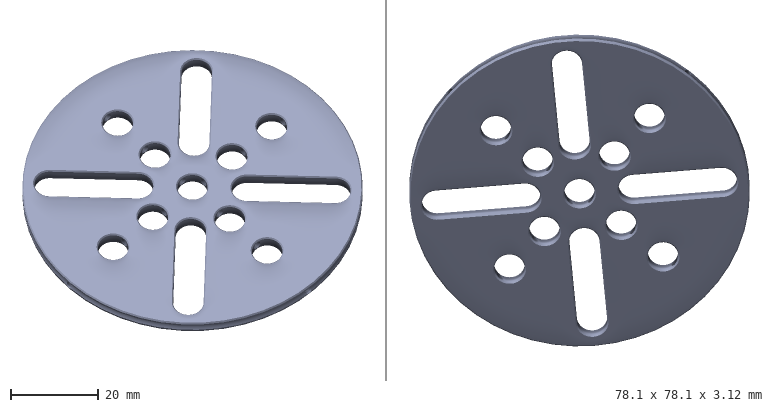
import cadquery as cq

disc_diameter = 78.12
thickness = 3.12
edge_chamfer = 0.3

groove_depth = 0.85
groove_half_width = 0.8

hole_diameter = 7.0
hole_pitch = 12.5
holes_per_arm = 2

slot_width = hole_diameter
slot_inner_radius = hole_pitch
slot_outer_radius = 32.8
slot_length = slot_outer_radius - slot_inner_radius + slot_width
slot_middle_radius = (slot_inner_radius + slot_outer_radius) / 2
slot_angles = (45, 135, 225, 315)

cross_bore_diameter = 2.0

seam_angle = 45

disc_radius = disc_diameter / 2
half_thickness = thickness / 2


def make_disc():
    """Disc centred on the origin, revolved from half of its section with the rim groove."""
    return (
        cq.Workplane("XZ")
        .moveTo(0, -half_thickness)
        .lineTo(disc_radius, -half_thickness)
        .lineTo(disc_radius, -groove_half_width)
        .lineTo(disc_radius - groove_depth, 0)
        .lineTo(disc_radius, groove_half_width)
        .lineTo(disc_radius, half_thickness)
        .lineTo(0, half_thickness)
        .close()
        .revolve(360, (0, 0, 0), (0, 1, 0))
        .rotate((0, 0, 0), (0, 0, 1), seam_angle)
    )


def hole_centres():
    """Centre hole plus a row of holes along each of the four axis directions."""
    centres = [(0, 0)]
    for step in range(1, holes_per_arm + 1):
        distance = step * hole_pitch
        centres += [(distance, 0), (-distance, 0), (0, distance), (0, -distance)]
    return centres


def cut_holes(body):
    holes = (
        cq.Workplane("XY")
        .pushPoints(hole_centres())
        .circle(hole_diameter / 2)
        .extrude(thickness, both=True)
    )
    return body.cut(holes)


def cut_slots(body):
    slot = (
        cq.Workplane("XY")
        .center(slot_middle_radius, 0)
        .slot2D(slot_length, slot_width)
        .extrude(thickness, both=True)
    )
    for angle in slot_angles:
        body = body.cut(slot.rotate((0, 0, 0), (0, 0, 1), angle))
    return body


def chamfer_faces(body):
    """Break every edge of the top and bottom faces: rim, holes and slots."""
    return body.faces("|Z").edges().chamfer(edge_chamfer)


def cut_cross_bores(body):
    """Bore along X and along Y, each longer than the disc so that it breaks out of the rim."""
    bore = (
        cq.Workplane("YZ")
        .circle(cross_bore_diameter / 2)
        .extrude(disc_diameter, both=True)
        .rotate((0, 0, 0), (1, 0, 0), seam_angle)
    )
    for angle in (0, 90):
        body = body.cut(bore.rotate((0, 0, 0), (0, 0, 1), angle))
    return body


result = make_disc()
result = cut_holes(result)
result = cut_slots(result)
result = chamfer_faces(result)
result = cut_cross_bores(result)